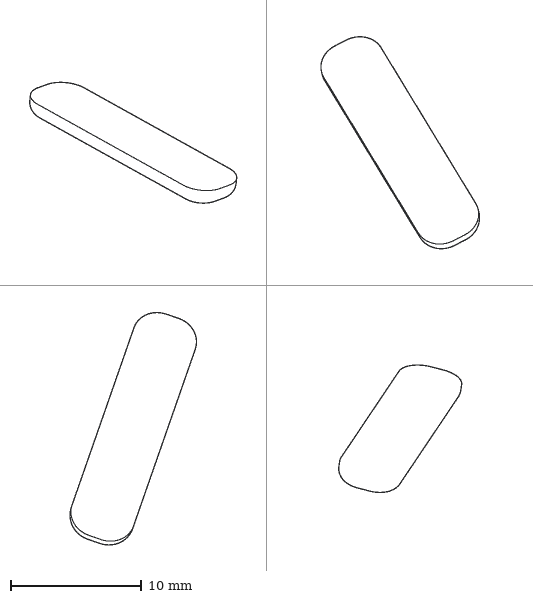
import cadquery as cq

length = 20.0
width = 5.0
corner_radius = 2.0
wall_height = 0.5
edge_radius = 1.0
tilt_angle = 8.0
thickness = wall_height + edge_radius


def rounded_bar():
    """Bar with its top face on Z = 0 and a rounded underside."""
    bar = cq.Workplane("XY").rect(length, width).extrude(-thickness)
    bar = bar.edges("|Z").fillet(corner_radius)
    return bar.faces("<Z").edges().fillet(edge_radius)


result = rounded_bar().rotate((0, 0, 0), (1, 0, 0), -tilt_angle)